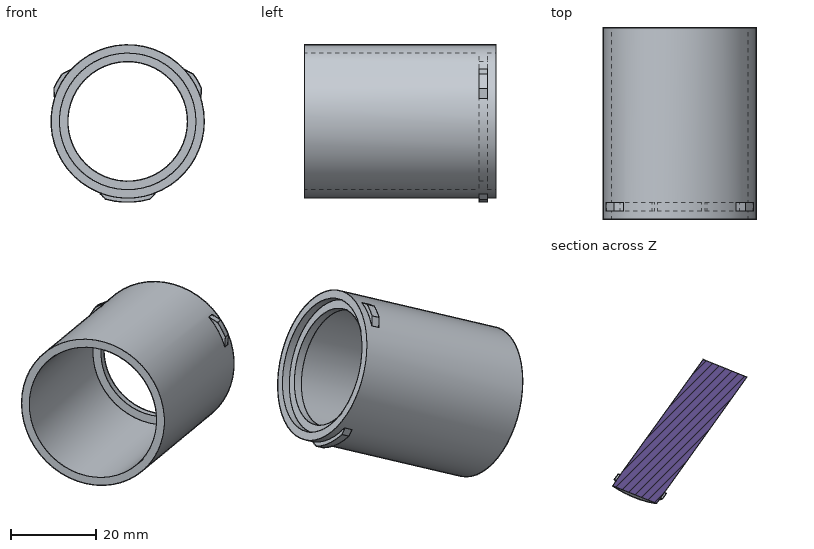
import cadquery as cq
import math

LENGTH = 45
OUTER_RADIUS = 18
COLLAR_RADIUS = 14.0
BORE_RADIUS = 16.0
RECESS_DEPTH = 2.0
COLLAR_WIDTH = 2.02

LUG_RADIUS = 19.0
LUG_OFFSET = 2.0
LUG_WIDTH = 2.02
LUG_ROOT_RADIUS = (BORE_RADIUS + OUTER_RADIUS) / 2
SIDE_LUG_ANGLES = (30, 150)
SIDE_LUG_HALF_WIDTH = 1.95
SIDE_LUG_FLANK_ANGLE = 57
BOTTOM_LUG_ANGLE = 270
BOTTOM_LUG_HALF_WIDTH = 5.18
BOTTOM_LUG_FLANK_ANGLE = 45


def cylinder(radius, length, start=0):
    """Solid cylinder on the Y axis, growing from start toward +Y."""
    return cq.Workplane("XZ", origin=(0, start, 0)).circle(radius).extrude(-length)


def lug(angle, half_width, flank_angle):
    """Lug with an arc crest and flanks that spread toward its root inside the wall."""
    crest_height = math.sqrt(LUG_RADIUS**2 - half_width**2)
    flank_drop = crest_height - LUG_ROOT_RADIUS
    root_half_width = half_width + flank_drop * math.tan(math.radians(flank_angle))
    profile = (
        cq.Workplane("XZ", origin=(0, LUG_OFFSET, 0))
        .moveTo(LUG_ROOT_RADIUS, -root_half_width)
        .lineTo(crest_height, -half_width)
        .threePointArc((LUG_RADIUS, 0), (crest_height, half_width))
        .lineTo(LUG_ROOT_RADIUS, root_half_width)
        .close()
    )
    return profile.extrude(-LUG_WIDTH).rotate((0, 0, 0), (0, -1, 0), angle)


result = cylinder(OUTER_RADIUS, LENGTH)
for side_angle in SIDE_LUG_ANGLES:
    result = result.union(lug(side_angle, SIDE_LUG_HALF_WIDTH, SIDE_LUG_FLANK_ANGLE))
result = result.union(lug(BOTTOM_LUG_ANGLE, BOTTOM_LUG_HALF_WIDTH, BOTTOM_LUG_FLANK_ANGLE))

result = result.cut(cylinder(COLLAR_RADIUS, LENGTH))
result = result.cut(cylinder(BORE_RADIUS, RECESS_DEPTH))
bore_start = RECESS_DEPTH + COLLAR_WIDTH
result = result.cut(cylinder(BORE_RADIUS, LENGTH - bore_start, bore_start))